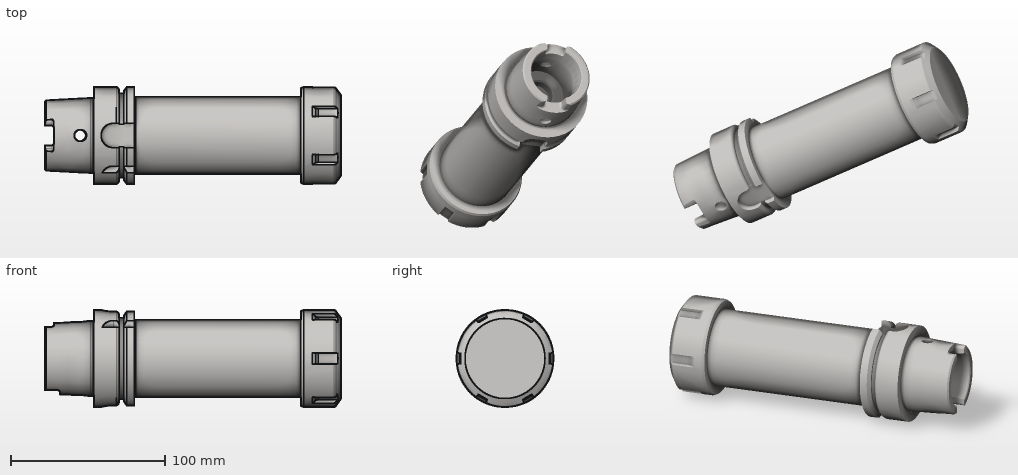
import cadquery as cq
import math

TOTAL_LENGTH = 192.0
OUTER_RADIUS = 31.5

TIP_RADIUS = 21.9
TIP_CHAMFER = 1.0
TAPER_START_RADIUS = 22.8
TAPER_END_RADIUS = 24.4
TAPER_END = 29.5

FLANGE_START = 31.9
RELIEF_START = 30.7
RELIEF_RADIUS = 23.8
RELIEF_OUTER_RADIUS = 25.3
RELIEF_DEPTH = 0.8

FLANGE_END = 58.0
GROOVE_FLOOR_RADIUS = 27.5
GROOVE_WALL_RADIUS = 29.0
GROOVE_FLOOR_START = 48.2
GROOVE_FLOOR_END = 51.3
GROOVE_FLANK_LENGTH = 2.0
GROOVE_FLANK_BULGE = 0.4

NECK_RADIUS = 25.0
NECK_LENGTH = 1.0
TUBE_RADIUS = 25.2
TUBE_END = 165.9

BORE_MOUTH_RADIUS = 17.7
BORE_MOUTH_CHAMFER = 0.5
BORE_TAPER_END = 13.0
BORE_RADIUS = 16.0
BORE_DEPTH = 34.5
PILOT_RADIUS = 8.8
PILOT_CHAMFER = 1.0
PILOT_DEPTH = 7.7

DRIVE_SLOT_HALF_WIDTH = 6.3
DRIVE_SLOT_LEDGE = 20.5
DRIVE_SLOT_EDGE_RADIUS = 2.0
DRIVE_SLOT_FLOOR_FILLET = 1.5
UPPER_SLOT_DEPTH = 6.0
LOWER_SLOT_DEPTH = 9.8

CROSS_HOLE_X = 22.8
CROSS_HOLE_DIAMETER = 7.3
CROSS_HOLE_CHAMFER = 0.4

KEY_SLOT_WIDTH = 15.7
KEY_SLOT_START = 36.5
KEY_SLOT_FLOOR = 26.5
NOTCH_FLOOR = 20.4
NOTCH_WALL = -19.8

NUT_REAR_RADIUS = 30.7
NUT_REAR_CHAMFER = 1.7
NUT_FRONT_CHAMFER = 4.0
NUT_FRONT_RADIUS = 26.0
NUT_EDGE_FILLET = 1.5

WRENCH_SLOT_COUNT = 6
WRENCH_SLOT_TOP_HALF_WIDTH = 3.8
WRENCH_SLOT_FLOOR_HALF_WIDTH = 3.3
WRENCH_SLOT_FLOOR = 28.8
WRENCH_SLOT_START = 173.2
WRENCH_SLOT_RAMP_LENGTH = 2.3
WRENCH_SLOT_RAMP_DEPTH = 2.1
WRENCH_SLOT_RUNOUT = 1.7

CLEARANCE = 3.8


def revolve_about_x(profile):
    """Turn a closed (x, radius) outline around the X axis."""
    return profile.revolve(360, (0, 0, 0), (1, 0, 0))


def turned_holder():
    """Shank, flange and tube as one turned shape."""
    flank_start = GROOVE_FLOOR_START - GROOVE_FLANK_LENGTH
    flank_middle = (
        (flank_start + GROOVE_FLOOR_START) / 2 + GROOVE_FLANK_BULGE,
        (OUTER_RADIUS + GROOVE_WALL_RADIUS) / 2 + GROOVE_FLANK_BULGE,
    )
    relief_bottom = FLANGE_START + RELIEF_DEPTH
    profile = (
        cq.Workplane("XY")
        .moveTo(0, 0)
        .lineTo(0, TIP_RADIUS)
        .lineTo(TIP_CHAMFER, TAPER_START_RADIUS)
        .lineTo(TAPER_END, TAPER_END_RADIUS)
        .lineTo(RELIEF_START, TAPER_END_RADIUS)
        .lineTo(relief_bottom, RELIEF_RADIUS)
        .lineTo(relief_bottom, RELIEF_OUTER_RADIUS)
        .lineTo(FLANGE_START, RELIEF_OUTER_RADIUS)
        .lineTo(FLANGE_START, OUTER_RADIUS)
        .lineTo(flank_start, OUTER_RADIUS)
        .threePointArc(flank_middle, (GROOVE_FLOOR_START, GROOVE_WALL_RADIUS))
        .lineTo(GROOVE_FLOOR_START, GROOVE_FLOOR_RADIUS)
        .lineTo(GROOVE_FLOOR_END, GROOVE_FLOOR_RADIUS)
        .lineTo(GROOVE_FLOOR_END, GROOVE_WALL_RADIUS)
        .lineTo(GROOVE_FLOOR_END + GROOVE_FLANK_LENGTH, OUTER_RADIUS)
        .lineTo(FLANGE_END, OUTER_RADIUS)
        .lineTo(FLANGE_END, NECK_RADIUS)
        .lineTo(FLANGE_END + NECK_LENGTH, NECK_RADIUS)
        .lineTo(FLANGE_END + NECK_LENGTH, TUBE_RADIUS)
        .lineTo(TUBE_END, TUBE_RADIUS)
        .lineTo(TUBE_END, 0)
        .close()
    )
    return revolve_about_x(profile)


def shank_bore():
    """Tapered mouth, straight bore and chamfered blind pilot hole."""
    profile = (
        cq.Workplane("XY")
        .moveTo(0, 0)
        .lineTo(0, BORE_MOUTH_RADIUS)
        .lineTo(BORE_MOUTH_CHAMFER, BORE_MOUTH_RADIUS - BORE_MOUTH_CHAMFER)
        .lineTo(BORE_TAPER_END, BORE_RADIUS)
        .lineTo(BORE_DEPTH, BORE_RADIUS)
        .lineTo(BORE_DEPTH, PILOT_RADIUS + PILOT_CHAMFER)
        .lineTo(BORE_DEPTH + PILOT_CHAMFER, PILOT_RADIUS)
        .lineTo(BORE_DEPTH + PILOT_DEPTH, PILOT_RADIUS)
        .lineTo(BORE_DEPTH + PILOT_DEPTH, 0)
        .close()
    )
    return revolve_about_x(profile)


def drive_slot(depth):
    """Cutting shape of the upper drive slot: round-edged walls opening onto flat ledges."""
    wall = DRIVE_SLOT_HALF_WIDTH
    ledge = DRIVE_SLOT_LEDGE
    radius = DRIVE_SLOT_EDGE_RADIUS
    arc_offset = radius * (1 - math.sqrt(0.5))
    side = OUTER_RADIUS / 2
    top = OUTER_RADIUS
    bottom = BORE_RADIUS / 2
    slot = (
        cq.Workplane("YZ", origin=(-CLEARANCE, 0, 0))
        .moveTo(-wall, bottom)
        .lineTo(-wall, ledge - radius)
        .threePointArc((-wall - arc_offset, ledge - arc_offset), (-wall - radius, ledge))
        .lineTo(-side, ledge)
        .lineTo(-side, top)
        .lineTo(side, top)
        .lineTo(side, ledge)
        .lineTo(wall + radius, ledge)
        .threePointArc((wall + arc_offset, ledge - arc_offset), (wall, ledge - radius))
        .lineTo(wall, bottom)
        .close()
        .extrude(depth + CLEARANCE)
    )
    walls_and_ledges = cq.selectors.BoxSelector(
        (depth - CLEARANCE / 2, -side + 0.2, bottom + 0.2), (depth + CLEARANCE, side - 0.2, ledge + 0.2)
    )
    return slot.faces(">X").edges(walls_and_ledges).fillet(DRIVE_SLOT_FLOOR_FILLET)


def cross_hole():
    """Hole along Z through both shank walls, chamfered where it leaves the taper."""
    hole_radius = CROSS_HOLE_DIAMETER / 2
    slope = (TAPER_END_RADIUS - TAPER_START_RADIUS) / (TAPER_END - TIP_CHAMFER)
    surface = TAPER_START_RADIUS + slope * (CROSS_HOLE_X - TIP_CHAMFER)
    chamfer_bottom = surface - CROSS_HOLE_CHAMFER
    hole = (
        cq.Workplane("XY", origin=(CROSS_HOLE_X, 0, 0))
        .circle(hole_radius)
        .extrude(OUTER_RADIUS, both=True)
    )
    for direction in (1, -1):
        countersink = cq.Solid.makeCone(
            hole_radius,
            hole_radius + 2 * CROSS_HOLE_CHAMFER,
            2 * CROSS_HOLE_CHAMFER,
            pnt=cq.Vector(CROSS_HOLE_X, 0, direction * chamfer_bottom),
            dir=cq.Vector(0, 0, direction),
        )
        hole = hole.union(cq.Workplane(countersink))
    return hole


def round_nosed_slot(center_y, floor):
    """Milled slot along X, open at the flange end, with its flat floor at Z = floor."""
    radius = KEY_SLOT_WIDTH / 2
    nose_center = KEY_SLOT_START + radius
    length = FLANGE_END - nose_center
    height = OUTER_RADIUS - floor + CLEARANCE
    nose = cq.Workplane("XY", origin=(nose_center, center_y, floor)).circle(radius).extrude(height)
    channel = cq.Workplane("XY").box(length, KEY_SLOT_WIDTH, height, centered=(False, True, False))
    return nose.union(channel.translate((nose_center, center_y, floor)))


def make_holder():
    holder = turned_holder().cut(shank_bore())

    upper_slot = drive_slot(UPPER_SLOT_DEPTH)
    lower_slot = drive_slot(LOWER_SLOT_DEPTH).rotate((0, 0, 0), (1, 0, 0), 180)
    holder = holder.cut(upper_slot).cut(lower_slot)
    holder = holder.cut(cross_hole())

    key_slot = round_nosed_slot(0, KEY_SLOT_FLOOR)
    holder = holder.cut(key_slot).cut(key_slot.rotate((0, 0, 0), (1, 0, 0), 180))
    notch = round_nosed_slot(NOTCH_WALL - KEY_SLOT_WIDTH / 2, NOTCH_FLOOR)
    return holder.cut(notch)


def turned_nut():
    """Nut blank with a chamfered rear edge and a steep front cone."""
    cone_start = TOTAL_LENGTH - NUT_FRONT_CHAMFER
    profile = (
        cq.Workplane("XY")
        .moveTo(TUBE_END, 0)
        .lineTo(TUBE_END, NUT_REAR_RADIUS)
        .lineTo(TUBE_END + NUT_REAR_CHAMFER, OUTER_RADIUS)
        .lineTo(cone_start, OUTER_RADIUS)
        .lineTo(TOTAL_LENGTH, NUT_FRONT_RADIUS)
        .lineTo(TOTAL_LENGTH, 0)
        .close()
    )
    cone_edge = cq.selectors.BoxSelector(
        (cone_start - 0.2, -CLEARANCE - OUTER_RADIUS, -CLEARANCE - OUTER_RADIUS),
        (cone_start + 0.2, CLEARANCE + OUTER_RADIUS, CLEARANCE + OUTER_RADIUS),
        boundingbox=True,
    )
    return revolve_about_x(profile).edges(cone_edge).fillet(NUT_EDGE_FILLET)


def wrench_slot():
    """Cutting shape of the wrench slot at the -Y side: sloping walls and a ramped rear end."""
    wall_slope = (WRENCH_SLOT_TOP_HALF_WIDTH - WRENCH_SLOT_FLOOR_HALF_WIDTH) / (OUTER_RADIUS - WRENCH_SLOT_FLOOR)
    reach = OUTER_RADIUS + CLEARANCE
    reach_half_width = WRENCH_SLOT_TOP_HALF_WIDTH + wall_slope * CLEARANCE
    length = TOTAL_LENGTH + CLEARANCE - WRENCH_SLOT_START
    cross_section = (
        cq.Workplane("YZ", origin=(WRENCH_SLOT_START, 0, 0))
        .polyline([
            (-WRENCH_SLOT_FLOOR, -WRENCH_SLOT_FLOOR_HALF_WIDTH),
            (-WRENCH_SLOT_FLOOR, WRENCH_SLOT_FLOOR_HALF_WIDTH),
            (-reach, reach_half_width),
            (-reach, -reach_half_width),
        ])
        .close()
        .extrude(length)
    )
    ramp_end = WRENCH_SLOT_START + WRENCH_SLOT_RAMP_LENGTH
    side_outline = (
        cq.Workplane("XY")
        .polyline([
            (WRENCH_SLOT_START, -reach),
            (WRENCH_SLOT_START, -OUTER_RADIUS),
            (ramp_end, -OUTER_RADIUS + WRENCH_SLOT_RAMP_DEPTH),
            (ramp_end + WRENCH_SLOT_RUNOUT, -WRENCH_SLOT_FLOOR),
            (WRENCH_SLOT_START + length, -WRENCH_SLOT_FLOOR),
            (WRENCH_SLOT_START + length, -reach),
        ])
        .close()
        .extrude(reach_half_width, both=True)
    )
    return cross_section.intersect(side_outline)


def make_nut():
    nut = turned_nut()
    slot = wrench_slot()
    for index in range(WRENCH_SLOT_COUNT):
        nut = nut.cut(slot.rotate((0, 0, 0), (1, 0, 0), index * 360 / WRENCH_SLOT_COUNT))
    return nut


holder = make_holder()
nut = make_nut()

result = cq.Compound.makeCompound([holder.val(), nut.val()])